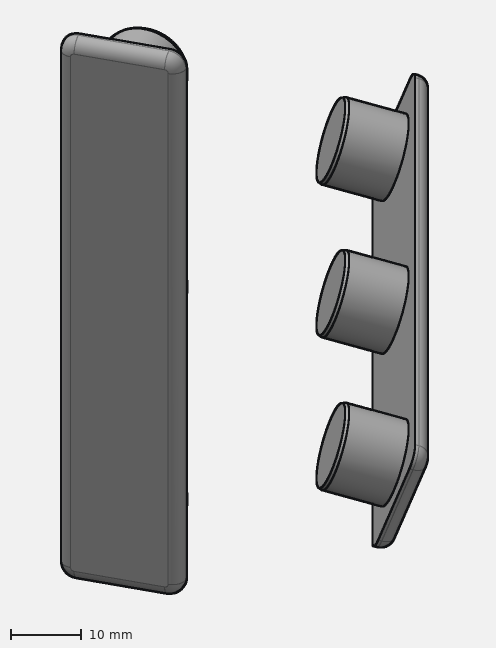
import cadquery as cq

plate_width = 18.5
plate_height = 90.0
plate_thickness = 2.5
corner_radius = 2.5
front_edge_radius = 2.0

total_depth = 12.0
peg_diameter = 12.9
peg_pitch = 35.4
peg_chamfer_length = 0.5
peg_chamfer_inset = 0.2
peg_length = total_depth - plate_thickness


def make_plate():
    """Bar with rounded corners and a rounded rim around its front face."""
    bar = cq.Workplane("XY").box(
        plate_width, plate_thickness, plate_height, centered=(True, False, True)
    )
    bar = bar.edges("|Y").fillet(corner_radius)
    return bar.faces("<Y").edges().fillet(front_edge_radius)


def make_peg(height):
    """Peg pointing toward +Y, with its free end slightly tapered."""
    peg = (
        cq.Workplane("XZ", origin=(0, plate_thickness, height))
        .circle(peg_diameter / 2)
        .extrude(-peg_length)
    )
    return peg.faces(">Y").edges().chamfer(peg_chamfer_length, peg_chamfer_inset)


result = make_plate()
for step in (-1, 0, 1):
    result = result.union(make_peg(step * peg_pitch))